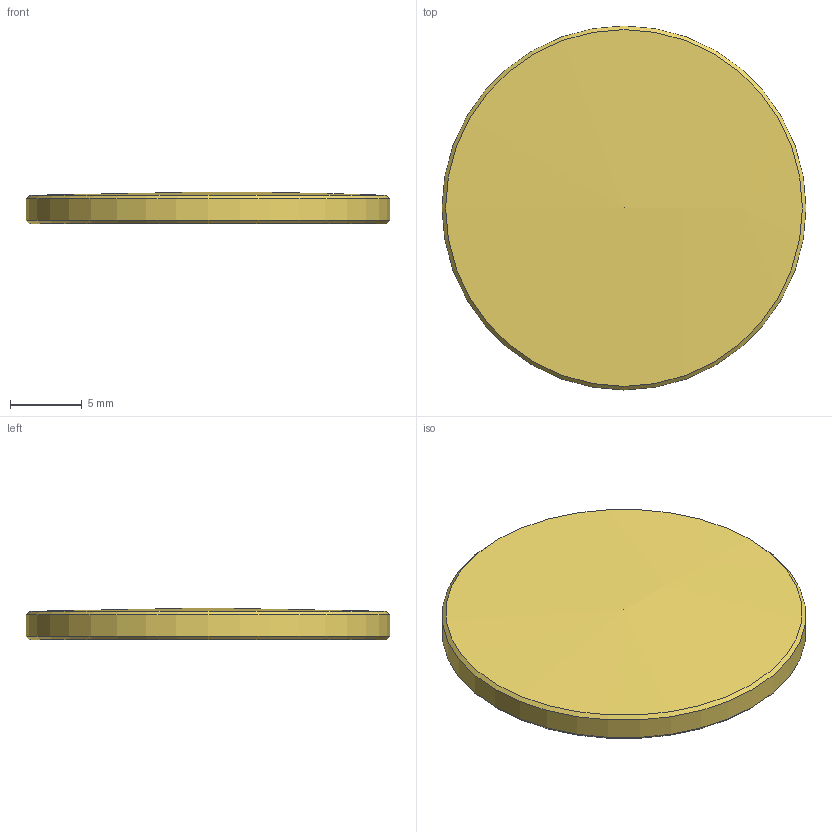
import cadquery as cq
import math

lens_diameter = 25.4
center_thickness = 2.23
dome_height = 0.23
bevel = 0.25

lens_radius = lens_diameter / 2
face_radius = lens_radius - bevel
shoulder_height = center_thickness - dome_height
dome_radius = (face_radius**2 + dome_height**2) / (2 * dome_height)
dome_center_height = center_thickness - dome_radius

mid_radius = face_radius / 2
mid_height = dome_center_height + math.sqrt(dome_radius**2 - mid_radius**2)


def lens_half_section():
    """Closed half section in the XZ plane, bounded by the optical axis."""
    return (
        cq.Workplane("XZ")
        .moveTo(0, 0)
        .lineTo(face_radius, 0)
        .lineTo(lens_radius, bevel)
        .lineTo(lens_radius, shoulder_height - bevel)
        .lineTo(face_radius, shoulder_height)
        .threePointArc((mid_radius, mid_height), (0, center_thickness))
        .close()
    )


optical_axis_start = (0, 0, 0)
optical_axis_end = (0, 1, 0)
result = lens_half_section().revolve(360, optical_axis_start, optical_axis_end)